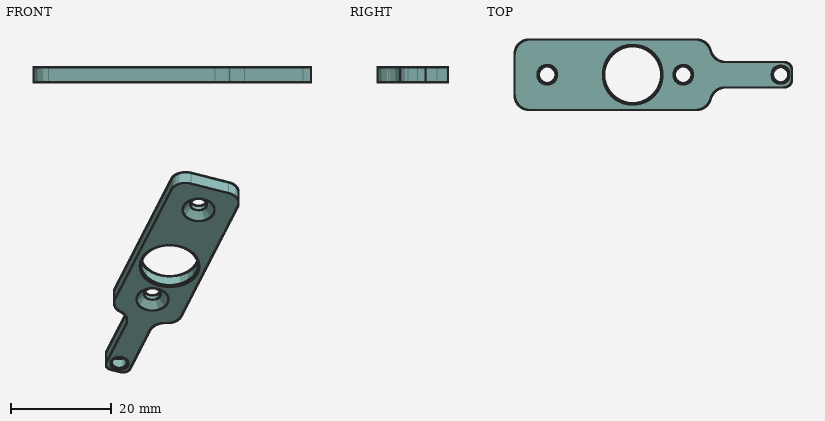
import cadquery as cq
import math

length = 55.0
body_width = 14.0
thickness = 3.0

corner_radius = 3.0
arm_width = 5.05
tip_radius = 1.6
shoulder_start = 35.95

hole_chamfer = 0.3
countersink_depth = thickness / 2
mounting_diameter = 3.3
tip_hole_diameter = 3.0
bore_diameter = 11.3

holes = [
    (6.5, mounting_diameter, countersink_depth),
    (23.45, bore_diameter, hole_chamfer),
    (33.45, mounting_diameter, countersink_depth),
    (52.75, tip_hole_diameter, hole_chamfer),
]

half_body = body_width / 2
half_arm = arm_width / 2

step = half_body - half_arm
center_distance = 2 * corner_radius
center_drop = center_distance - step
shoulder_length = math.sqrt(center_distance**2 - center_drop**2)
shoulder_end = shoulder_start + shoulder_length
shoulder_middle = (shoulder_start + shoulder_end) / 2


def make_plate():
    """Rounded body narrowing through S-curve shoulders to a slim arm."""
    upper_middle = (shoulder_middle, half_body - step / 2)
    lower_middle = (shoulder_middle, -half_body + step / 2)
    outline = (
        cq.Workplane("XY")
        .moveTo(0, half_body)
        .lineTo(shoulder_start, half_body)
        .tangentArcPoint(upper_middle, relative=False)
        .tangentArcPoint((shoulder_end, half_arm), relative=False)
        .lineTo(length, half_arm)
        .lineTo(length, -half_arm)
        .lineTo(shoulder_end, -half_arm)
        .tangentArcPoint(lower_middle, relative=False)
        .tangentArcPoint((shoulder_start, -half_body), relative=False)
        .lineTo(0, -half_body)
        .close()
    )
    plate = outline.extrude(thickness)
    plate = plate.edges("|Z and <X").fillet(corner_radius)
    return plate.edges("|Z and >X").fillet(tip_radius)


def make_hole_cutter(x, diameter, lower_chamfer):
    """Through hole with a 45-degree chamfer at its upper and lower rims."""
    radius = diameter / 2
    rim_radius = radius + hole_chamfer
    return (
        cq.Workplane("XZ")
        .moveTo(0, 0)
        .lineTo(radius + lower_chamfer, 0)
        .lineTo(radius, lower_chamfer)
        .lineTo(radius, thickness - hole_chamfer)
        .lineTo(rim_radius, thickness)
        .lineTo(0, thickness)
        .close()
        .revolve(360, (0, 0), (0, 1))
        .translate((x, 0, 0))
    )


result = make_plate()
for hole_x, hole_diameter, lower_depth in holes:
    result = result.cut(make_hole_cutter(hole_x, hole_diameter, lower_depth))